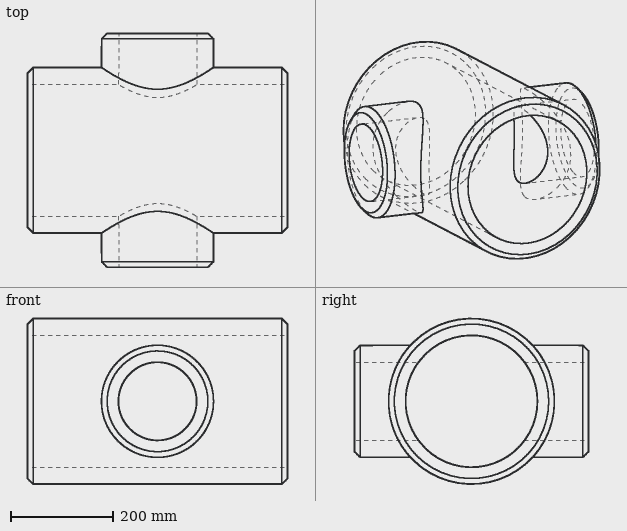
import cadquery as cq

run_length = 508.0
run_diameter = 323.85
branch_length = 457.2
branch_diameter = 219.075
wall_thickness = 33.325
bevel_size = 11.1125


def centred_bar(plane, diameter, length):
    """Solid round bar centred on the origin, lying along the plane's normal."""
    return cq.Workplane(plane).circle(diameter / 2).extrude(length / 2, both=True)


def bevelled_bar(plane, diameter, length):
    """Centred round bar with its two end rims bevelled."""
    return centred_bar(plane, diameter, length).edges("%CIRCLE").chamfer(bevel_size)


def bore(plane, outer_diameter, length):
    """Through bore that leaves the wall thickness inside the outer diameter."""
    return centred_bar(plane, outer_diameter - 2 * wall_thickness, length)


run = bevelled_bar("YZ", run_diameter, run_length)
branches = bevelled_bar("XZ", branch_diameter, branch_length)
body = run.union(branches)

run_bore = bore("YZ", run_diameter, run_length)
branch_bore = bore("XZ", branch_diameter, branch_length)

result = body.cut(run_bore).cut(branch_bore)